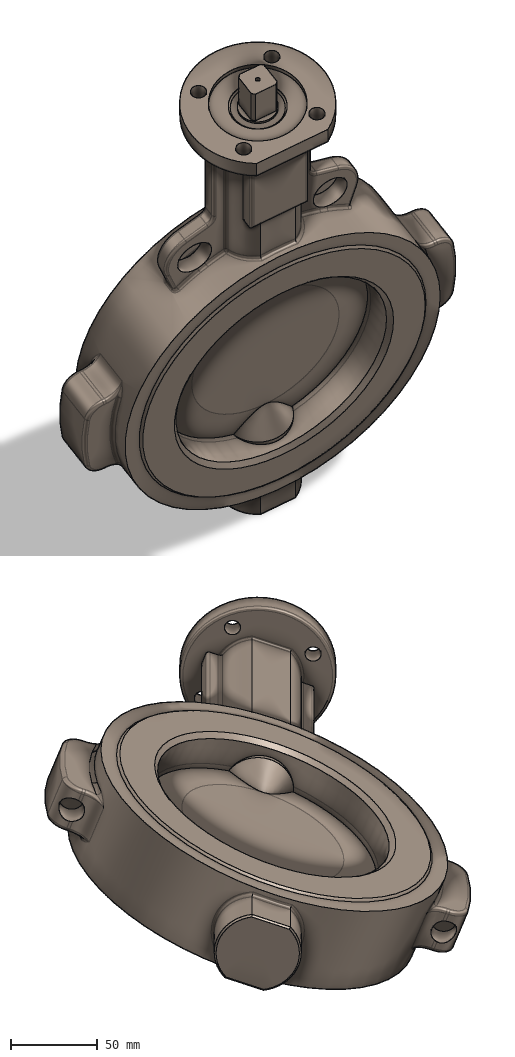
import cadquery as cq
import math


total_height = 369.0
foot_bottom_z = -130.3
stem_top_z = total_height + foot_bottom_z
flange_top_z = 217.5
flange_thickness = 12.5
flange_bottom_z = flange_top_z - flange_thickness

body_radius = 106.5
body_half_width = 27.3
liner_radius = 97.0
liner_half_width = 28.8
liner_rim_bevel = 1.5
bore_radius = 71.2
bore_chamfer = 3.0
seat_radius = 70.0
seat_half_width = 8.5
disc_flat_radius = 49.8
disc_centre_half_thickness = 8.5
disc_edge_half_thickness = 5.5
hub_base_radius = 20.5
hub_base_z = 68.3

neck_radius = 25.0
neck_half_flat = 22.0
root_fillet = 2.2
neck_top_fillet = 1.5
foot_chamfer = 1.0

flange_radius = 45.0
flange_flat_x = 38.0
flange_edge_fillet = 2.0
bolt_circle_radius = 35.0
bolt_hole_diameter = 9.2
recess_radius = 28.5
recess_depth = 3.0
stem_pocket_radius = 17.0
stem_pocket_depth = 1.5
stem_pocket_chamfer = 1.0

stem_radius = 11.8
stem_square = 17.5
stem_square_corner_radius = 11.0
stem_dimple_diameter = 2.5

web_thickness = 10.5
web_half_span = 33.2
web_edge_fillet = 2.0
ear_pitch_radius = 120.0
ear_pitch_angle = math.radians(22.5)
ear_radius = 19.5
ear_hole_diameter = 23.0
ear_lean = math.radians(17.5)
ear_lower_run = 29.5
ear_neck_fillet = 5.5

overall_width = 252.8
lug_tip_radius = overall_width / 2
lug_half_height = 31.0
lug_width = 28.5
lug_corner_radius = 11.8
lug_root_radius = 13.0
lug_edge_fillet = 2.2
lug_hole_diameter = 14.8
lug_hole_y = 114.5
lug_hole_depth = 14.8

plate_bottom_z = 139.5
plate_top_z = 191.0
plate_half_width = 19.5
plate_face_x = 24.5
plate_edge_fillet = 2.0

pick_margin = 0.5
pick_tolerance = 0.005


def disc_along_x(radius, width):
    return cq.Workplane("YZ").circle(radius).extrude(width / 2, both=True)


def make_ring():
    """Body ring, liner and seat, revolved about the flow axis."""
    bore_mouth_radius = bore_radius + bore_chamfer
    chamfer_x = liner_half_width - bore_chamfer
    bevel_radius = liner_radius - liner_rim_bevel
    half = [
        (seat_half_width, bore_radius),
        (chamfer_x, bore_radius),
        (liner_half_width, bore_mouth_radius),
        (liner_half_width, bevel_radius),
        (body_half_width, liner_radius),
        (body_half_width, body_radius),
    ]
    mirrored = [(-x, r) for x, r in reversed(half)]
    outline = [(0, seat_radius)] + half + mirrored
    return cq.Workplane("XY").polyline(outline).close().revolve(360, (0, 0), (1, 0))


def make_disc():
    """Disc with a flat centre, thinning to its edge, and a conical hub at each end of the stem."""
    outline = [
        (-disc_centre_half_thickness, 0),
        (-disc_centre_half_thickness, disc_flat_radius),
        (-disc_edge_half_thickness, bore_radius),
        (disc_edge_half_thickness, bore_radius),
        (disc_centre_half_thickness, disc_flat_radius),
        (disc_centre_half_thickness, 0),
    ]
    disc = cq.Workplane("XY").polyline(outline).close().revolve(360, (0, 0), (1, 0))
    hub_root_z = bore_radius + bore_chamfer
    hub_outline = [
        (0, disc_flat_radius),
        (disc_centre_half_thickness, disc_flat_radius),
        (hub_base_radius, hub_base_z),
        (hub_base_radius, hub_root_z),
        (0, hub_root_z),
    ]
    hub = cq.Workplane("XZ").polyline(hub_outline).close().revolve(360, (0, 0), (0, 1))
    return disc.union(hub).union(hub.mirror("XY"))


def make_lugs():
    """Two side lugs on a disc inside the body ring, with blended roots and rounded edges."""
    tips = disc_along_x(lug_tip_radius, lug_width)
    band = cq.Workplane("XY").box(lug_width, 2 * lug_tip_radius, 2 * lug_half_height)
    lugs = tips.intersect(band).edges("|X").fillet(lug_corner_radius)
    lugs = lugs.union(disc_along_x(body_radius, lug_width))
    root_y = math.sqrt(body_radius**2 - lug_half_height**2)
    for y in (-root_y, root_y):
        for z in (-lug_half_height, lug_half_height):
            lugs = lugs.edges(cq.NearestToPointSelector((0, y, z))).fillet(lug_root_radius)
    return lugs.faces("<X or >X").edges().fillet(lug_edge_fillet)


def make_lug_holes():
    """Blind holes rising into the underside of both lugs."""
    hole_top_z = lug_hole_depth - lug_half_height
    return (
        cq.Workplane("XY", origin=(0, 0, hole_top_z))
        .pushPoints([(0, -lug_hole_y), (0, lug_hole_y)])
        .circle(lug_hole_diameter / 2)
        .extrude(-2 * lug_hole_depth)
    )


def make_web():
    """Flat web along the neck that carries two lifting ears."""
    eye_y = ear_pitch_radius * math.sin(ear_pitch_angle)
    eye_z = ear_pitch_radius * math.cos(ear_pitch_angle)
    lean_cos = math.cos(ear_lean)
    lean_sin = math.sin(ear_lean)
    middle = ear_radius * math.sqrt(0.5)
    lower_y = eye_y + ear_radius * lean_cos
    lower_z = eye_z - ear_radius * lean_sin
    upper_y = eye_y + ear_radius * lean_sin
    upper_z = eye_z + ear_radius * lean_cos
    shoulder_z = upper_z + (upper_y - web_half_span) * math.tan(ear_lean)

    half_web = (
        cq.Workplane("YZ", origin=(-web_thickness / 2, 0, 0))
        .moveTo(0, 0)
        .lineTo(lower_y - ear_lower_run * lean_sin, lower_z - ear_lower_run * lean_cos)
        .lineTo(lower_y, lower_z)
        .threePointArc((eye_y + middle, eye_z + middle), (upper_y, upper_z))
        .lineTo(web_half_span, shoulder_z)
        .lineTo(web_half_span, flange_bottom_z)
        .lineTo(0, flange_bottom_z)
        .close()
        .extrude(web_thickness)
    )
    shoulder = cq.NearestToPointSelector((0, web_half_span, shoulder_z))
    half_web = half_web.edges(shoulder).fillet(ear_neck_fillet)
    web = half_web.union(half_web.mirror("XZ")).clean()
    web = web.faces("<X or >X").edges("not >Z").fillet(web_edge_fillet)
    eyes = (
        cq.Workplane("YZ")
        .pushPoints([(-eye_y, eye_z), (eye_y, eye_z)])
        .circle(ear_hole_diameter / 2)
        .extrude(web_thickness, both=True)
    )
    return web.cut(eyes)


def make_post(bottom_z, top_z):
    """Round post along the stem axis with a flat on each X side."""
    height = top_z - bottom_z
    post = cq.Workplane("XY", origin=(0, 0, bottom_z)).circle(neck_radius).extrude(height)
    slab = cq.Workplane("XY").box(2 * neck_half_flat, 2 * neck_radius, height, centered=(True, True, False))
    return post.intersect(slab.translate((0, 0, bottom_z)))


def make_flange():
    """Actuator flange with one flat side and the top of the neck blended into its underside."""
    base = cq.Workplane("XY", origin=(0, 0, flange_bottom_z))
    flange = base.circle(flange_radius).extrude(flange_thickness)
    beyond_flat = cq.Workplane("XY", origin=(flange_flat_x, 0, flange_bottom_z)).box(
        flange_radius, 2 * flange_radius, flange_thickness, centered=(False, True, False)
    )
    flange = flange.cut(beyond_flat).faces("<Z").edges().fillet(flange_edge_fillet)
    neck_top = make_post(flange_bottom_z - 2 * neck_top_fillet, flange_bottom_z)
    reach = neck_radius + pick_margin
    joint = cq.selectors.BoxSelector(
        (-reach, -reach, flange_bottom_z - pick_margin),
        (reach, reach, flange_bottom_z + pick_margin),
        boundingbox=True,
    )
    return flange.union(neck_top).edges(joint).fillet(neck_top_fillet)


def make_flange_cuts():
    """Bolt holes, spigot recess and the pocket around the stem."""
    holes = (
        cq.Workplane("XY", origin=(0, 0, flange_bottom_z))
        .polarArray(bolt_circle_radius, 45, 360, 4)
        .circle(bolt_hole_diameter / 2)
        .extrude(flange_thickness)
    )
    recess_floor_z = flange_top_z - recess_depth
    recess = cq.Workplane("XY", origin=(0, 0, recess_floor_z)).circle(recess_radius).extrude(recess_depth)
    pocket = (
        cq.Workplane("XY", origin=(0, 0, recess_floor_z - stem_pocket_depth))
        .circle(stem_pocket_radius)
        .extrude(stem_pocket_depth)
        .faces("<Z")
        .chamfer(stem_pocket_chamfer)
    )
    return holes.union(recess).union(pocket)


def make_stem():
    """Square drive end with turned corners on a round shoulder, dimpled at the top."""
    shoulder_z = flange_top_z - recess_depth
    square_height = stem_top_z - shoulder_z
    shoulder = cq.Workplane("XY", origin=(0, 0, flange_bottom_z)).circle(stem_radius)
    shoulder = shoulder.extrude(shoulder_z - flange_bottom_z)
    square = cq.Workplane("XY", origin=(0, 0, shoulder_z)).rect(stem_square, stem_square)
    square = square.extrude(square_height)
    turned = cq.Workplane("XY", origin=(0, 0, shoulder_z)).circle(stem_square_corner_radius)
    square = square.intersect(turned.extrude(square_height))
    square = square.faces(">Z").workplane().hole(stem_dimple_diameter, stem_dimple_diameter)
    return shoulder.union(square)


def make_plate():
    """Raised plate on the +X flat of the neck."""
    height = plate_top_z - plate_bottom_z
    plate = cq.Workplane("XY", origin=(0, 0, plate_bottom_z)).box(
        plate_face_x, 2 * plate_half_width, height, centered=(False, True, False)
    )
    return plate.faces(">X").edges().fillet(plate_edge_fillet)


def lies_on_body(edge):
    """True for an edge where something stands on the round outside of the body."""
    points = [edge.positionAt(fraction) for fraction in (0.1, 0.5, 0.9)]
    on_radius = all(math.isclose(math.hypot(p.y, p.z), body_radius, abs_tol=pick_tolerance) for p in points)
    inside_width = all(abs(p.x) < body_half_width - pick_margin for p in points)
    return on_radius and inside_width and edge.geomType() != "LINE"


def joins_web_to_neck(edge):
    """True for an upright edge where a face of the web meets the round of the neck."""
    centre = edge.Center()
    on_web = math.isclose(abs(centre.x), web_thickness / 2, abs_tol=pick_tolerance)
    on_neck = math.isclose(math.hypot(centre.x, centre.y), neck_radius, abs_tol=pick_tolerance)
    return on_web and on_neck


def make_shell():
    """Body, neck, foot, web, lugs and flange, hollowed for the flow passage."""
    neck = make_post(0, flange_bottom_z)
    foot = make_post(foot_bottom_z, 0).faces("<Z").edges().chamfer(foot_chamfer)
    shell = disc_along_x(body_radius, 2 * body_half_width)
    shell = shell.union(neck).union(make_web())
    shell = shell.union(foot).union(make_lugs())
    roots = shell.edges().filter(lambda edge: lies_on_body(edge) or joins_web_to_neck(edge))
    shell = roots.fillet(root_fillet)
    shell = shell.union(make_flange())
    shell = shell.union(make_plate())
    flow_passage = disc_along_x(bore_radius + bore_chamfer, 2 * liner_half_width)
    return shell.cut(flow_passage).cut(make_flange_cuts()).cut(make_lug_holes())


result = make_shell().union(make_ring()).union(make_disc()).union(make_stem())